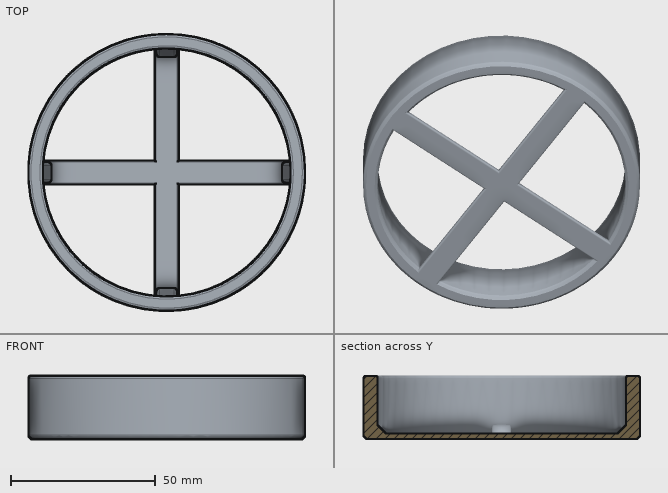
import cadquery as cq

outer_diameter = 95.5
bore_diameter = 85.5
ring_height = 22.0
rim_fillet = 1.0
bottom_chamfer = 1.05
bottom_blend = 1.0

arm_width = 8.4
arm_thickness = 2.0
arm_fillet = 0.6

gusset_run = 3.0
gusset_rise = 3.0
gusset_fillet = 1.1

bore_radius = bore_diameter / 2
wall = (outer_diameter - bore_diameter) / 2
reach = bore_radius + wall / 2
gusset_width = arm_width - 2 * arm_fillet


def make_ring():
    ring = cq.Workplane("XY").circle(outer_diameter / 2).circle(bore_radius).extrude(ring_height)
    ring = ring.faces(">Z").edges().fillet(rim_fillet)
    ring = ring.faces("<Z").edges().chamfer(bottom_chamfer)
    chamfer_tops = cq.selectors.BoxSelector(
        (-outer_diameter, -outer_diameter, bottom_chamfer / 2),
        (outer_diameter, outer_diameter, bottom_chamfer * 2),
    )
    return ring.edges("%CIRCLE").edges(chamfer_tops).fillet(bottom_blend)


def make_cross():
    along_x = cq.Workplane("XY").rect(2 * reach, arm_width).extrude(arm_thickness)
    along_y = cq.Workplane("XY").rect(arm_width, 2 * reach).extrude(arm_thickness)
    cross = along_x.union(along_y)
    return cross.faces("<Z or >Z").edges().fillet(arm_fillet)


def make_gusset():
    """Wedge on the +X arm, rising outwards to the bore and rounded along its sloped edges."""
    foot = bore_radius - gusset_run
    slope = gusset_rise / gusset_run
    top = arm_thickness + slope * (reach - foot)
    base = arm_thickness / 2
    wedge = (
        cq.Workplane("XZ")
        .moveTo(foot, base)
        .lineTo(foot, arm_thickness)
        .lineTo(reach, top)
        .lineTo(reach, base)
        .close()
        .extrude(gusset_width / 2, both=True)
    )
    sloped_edges = wedge.edges("not(|X or |Y or |Z)")
    return sloped_edges.fillet(gusset_fillet)


result = make_ring().union(make_cross())
for quarter in range(4):
    result = result.union(make_gusset().rotate((0, 0, 0), (0, 0, 1), 90 * quarter))